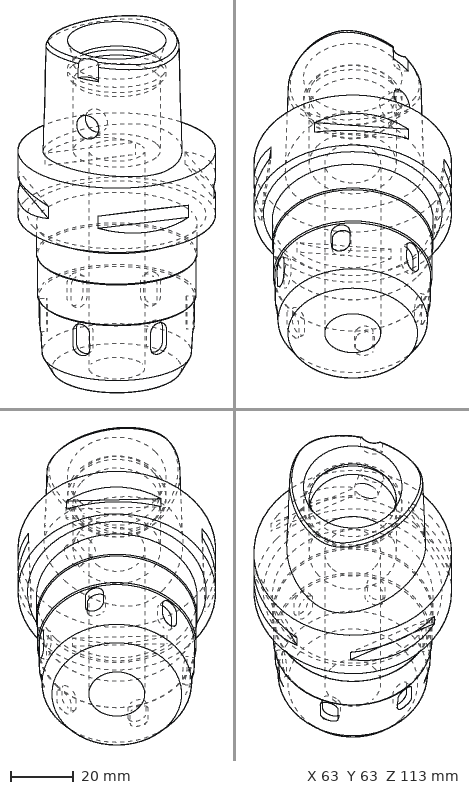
import cadquery as cq
import math

TOTAL_HEIGHT = 113.0

FLANGE_RADIUS = 31.5
FLANGE_TOP = 75.0
FLANGE_BOTTOM = 52.9

NECK_RADIUS = 25.7
NECK_CONE_TOP_RADIUS = 28.5
NECK_BOTTOM = 39.1
NUT_RADIUS = 25.3
NUT_BOTTOM = 24.9
RING_TOP_RADIUS = 24.9
RING_BOTTOM_RADIUS = 24.7
RING_BOTTOM = 14.9
NOSE_TOP = 13.2
NOSE_TOP_RADIUS = 24.3
NOSE_CHAMFER_RADIUS = 23.8
NOSE_CHAMFER_HEIGHT = 5.5
NOSE_END_RADIUS = 20.7
STEP_BEVEL = 0.5

SHANK_BASE_RADIUS = 22.1
SHANK_TAPER = 1 / 40
LOBE_HEIGHT = 1.4
SHANK_CHAMFER_HEIGHT = 1.5
SHANK_CHAMFER_WIDTH = 0.7
OUTLINE_POINTS = 48

MOUTH_RADIUS = 15.7
BORE_RADIUS = 13.9
LIP_TOP_DEPTH = 6.0
LIP_BOTTOM_DEPTH = 7.7
GROOVE_TOP_DEPTH = 9.7
GROOVE_BOTTOM_DEPTH = 11.5
BORE_TOP_DEPTH = 13.7
BORE_DEPTH = TOTAL_HEIGHT - FLANGE_TOP
THROUGH_RADIUS = 8.9

NOTCH_RADIUS = 4.5
NOTCH_FLOOR_DEPTH = 6.3
NOTCH_BACK = 17.9
SIDE_HOLE_RADIUS = 4.0
SIDE_HOLE_Z = 90.5
SIDE_HOLE_BOTTOM = 14.1

GRIP_COUNT = 4
GRIP_Z = 63.0
GRIP_FLOOR = 27.7
GRIP_FLOOR_HEIGHT = 4.2
GRIP_MOUTH_HEIGHT = 7.7

SPANNER_COUNT = 6
SPANNER_WIDTH = 6.0
SPANNER_HEIGHT = 11.0
SPANNER_Z = 18.8
SPANNER_FLOOR = 22.3


def revolve_profile(points):
    """Revolve a closed (radius, z) outline about the Z axis."""
    return cq.Workplane("XZ").polyline(points).close().revolve(360, (0, 0), (0, 1))


def make_body():
    neck_top = FLANGE_BOTTOM - (NECK_CONE_TOP_RADIUS - NECK_RADIUS)
    return revolve_profile([
        (0, 0),
        (NOSE_END_RADIUS, 0),
        (NOSE_CHAMFER_RADIUS, NOSE_CHAMFER_HEIGHT),
        (NOSE_TOP_RADIUS, NOSE_TOP),
        (RING_BOTTOM_RADIUS, RING_BOTTOM),
        (RING_TOP_RADIUS, NUT_BOTTOM),
        (NUT_RADIUS, NUT_BOTTOM + STEP_BEVEL),
        (NUT_RADIUS, NECK_BOTTOM),
        (NECK_RADIUS, NECK_BOTTOM + STEP_BEVEL),
        (NECK_RADIUS, neck_top),
        (NECK_CONE_TOP_RADIUS, FLANGE_BOTTOM),
        (FLANGE_RADIUS, FLANGE_BOTTOM),
        (FLANGE_RADIUS, FLANGE_TOP),
        (0, FLANGE_TOP),
    ])


def lobed_point(mean_radius, angle):
    """Point of a three-lobed curve whose outward normal has this angle.

    The distance from the axis to the tangent line is mean_radius - LOBE_HEIGHT * sin(3 * angle),
    so one lobe points along +Y and every offset of the curve is again such a curve.
    """
    reach = mean_radius - LOBE_HEIGHT * math.sin(3 * angle)
    slide = -3 * LOBE_HEIGHT * math.cos(3 * angle)
    return (
        reach * math.cos(angle) - slide * math.sin(angle),
        reach * math.sin(angle) + slide * math.cos(angle),
    )


def lobed_frustum(bottom_z, bottom_radius, top_z, top_radius):
    def outline(mean_radius):
        start = -math.pi / 2
        step = 2 * math.pi / OUTLINE_POINTS
        return [lobed_point(mean_radius, start + i * step) for i in range(OUTLINE_POINTS)]

    return (
        cq.Workplane("XY", origin=(0, 0, bottom_z))
        .spline(outline(bottom_radius), periodic=True).close()
        .workplane(offset=top_z - bottom_z)
        .spline(outline(top_radius), periodic=True).close()
        .loft(ruled=True)
    )


def make_shank():
    chamfer_z = TOTAL_HEIGHT - SHANK_CHAMFER_HEIGHT
    chamfer_radius = SHANK_BASE_RADIUS - SHANK_TAPER * (chamfer_z - FLANGE_TOP)
    end_radius = chamfer_radius - SHANK_CHAMFER_WIDTH
    taper = lobed_frustum(FLANGE_TOP, SHANK_BASE_RADIUS, chamfer_z, chamfer_radius)
    tip = lobed_frustum(chamfer_z, chamfer_radius, TOTAL_HEIGHT, end_radius)
    return taper.union(tip)


def make_bore():
    stations = [
        (MOUTH_RADIUS, 0),
        (BORE_RADIUS, LIP_TOP_DEPTH),
        (BORE_RADIUS, LIP_BOTTOM_DEPTH),
        (MOUTH_RADIUS, GROOVE_TOP_DEPTH),
        (MOUTH_RADIUS, GROOVE_BOTTOM_DEPTH),
        (BORE_RADIUS, BORE_TOP_DEPTH),
        (BORE_RADIUS, BORE_DEPTH),
        (THROUGH_RADIUS, BORE_DEPTH),
        (THROUGH_RADIUS, TOTAL_HEIGHT),
    ]
    wall = [(radius, TOTAL_HEIGHT - depth) for radius, depth in stations]
    return revolve_profile([(0, TOTAL_HEIGHT)] + wall + [(0, 0)])


def make_key_notch():
    return (
        cq.Workplane("XY", origin=(0, -NOTCH_BACK - NOTCH_RADIUS, TOTAL_HEIGHT))
        .circle(NOTCH_RADIUS).extrude(-NOTCH_FLOOR_DEPTH)
    )


def make_side_hole():
    return (
        cq.Workplane("XZ", origin=(0, -SIDE_HOLE_BOTTOM, SIDE_HOLE_Z))
        .circle(SIDE_HOLE_RADIUS).extrude(FLANGE_RADIUS - SIDE_HOLE_BOTTOM)
    )


def make_grip_slot():
    """V slot across the -Y side of the flange."""
    floor_half = GRIP_FLOOR_HEIGHT / 2
    mouth_half = GRIP_MOUTH_HEIGHT / 2
    return (
        cq.Workplane("YZ", origin=(0, 0, GRIP_Z))
        .polyline([
            (-GRIP_FLOOR, -floor_half),
            (-GRIP_FLOOR, floor_half),
            (-FLANGE_RADIUS, mouth_half),
            (-FLANGE_RADIUS, -mouth_half),
        ])
        .close().extrude(FLANGE_RADIUS, both=True)
    )


def make_spanner_slot():
    """Upright round-ended slot in the -Y side of the nut."""
    return (
        cq.Workplane("XZ", origin=(0, -SPANNER_FLOOR, SPANNER_Z))
        .slot2D(SPANNER_HEIGHT, SPANNER_WIDTH, 90).extrude(NUT_RADIUS - SPANNER_FLOOR)
    )


def cut_around(part, cutter, count, first_angle):
    """Cut copies of the cutter spread evenly about the Z axis."""
    for i in range(count):
        part = part.cut(cutter.rotate((0, 0, 0), (0, 0, 1), first_angle + i * 360 / count))
    return part


result = make_body().union(make_shank()).cut(make_bore()).cut(make_key_notch()).cut(make_side_hole())
result = cut_around(result, make_grip_slot(), GRIP_COUNT, 45)
result = cut_around(result, make_spanner_slot(), SPANNER_COUNT, 0)